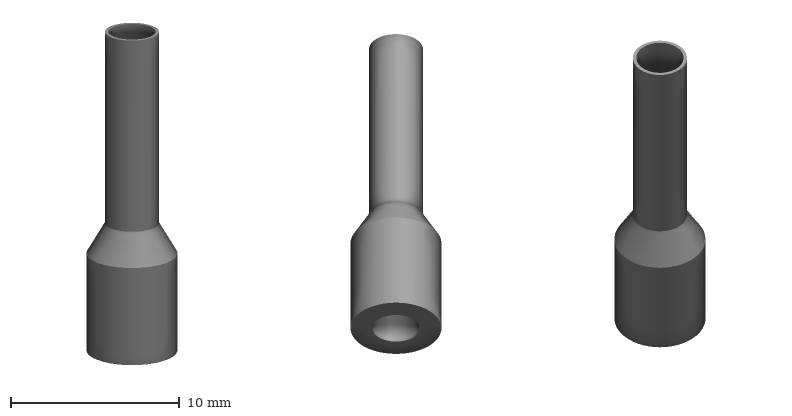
import cadquery as cq

total_length = 20.0
tube_outer_diameter = 3.2
tube_inner_diameter = 2.8

collar_length = 8.0
collar_outer_diameter = 5.4
taper_length = 1.9

tube_outer_radius = tube_outer_diameter / 2
tube_inner_radius = tube_inner_diameter / 2
collar_outer_radius = collar_outer_diameter / 2
taper_start = collar_length - taper_length


def make_tube():
    """Thin-walled tube running the full length of the ferrule."""
    return (
        cq.Workplane("XY")
        .circle(tube_outer_radius)
        .circle(tube_inner_radius)
        .extrude(total_length)
    )


def make_collar():
    """Collar fitted on the tube, straight below and tapering to the tube surface at its top."""
    return (
        cq.Workplane("XZ")
        .moveTo(tube_outer_radius, 0)
        .lineTo(collar_outer_radius, 0)
        .lineTo(collar_outer_radius, taper_start)
        .lineTo(tube_outer_radius, collar_length)
        .close()
        .revolve(360, (0, 0, 0), (0, 1, 0))
    )


tube = make_tube()
collar = make_collar()

result = cq.Compound.makeCompound([tube.val(), collar.val()])